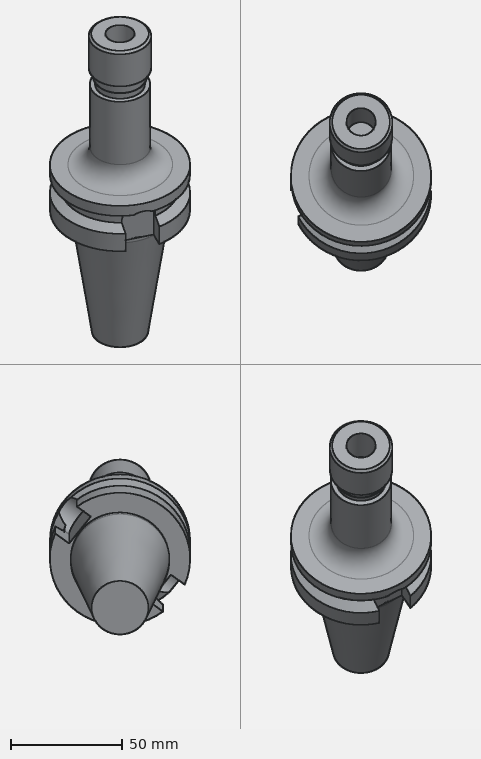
import cadquery as cq

shank_end_radius = 12.7
gauge_radius = 22.2
gauge_z = 65.3

flange_radius = 31.51
flange_bottom_z = 67.3
flange_top_z = 92.6
groove_radius = 26.5
groove_bottom_z = 79.5
groove_top_z = 84.5
groove_flank_height = 2.5

stem_radius = 13.5
stem_top_z = 137.5
blend_radius = 10.0

neck_radius = 11.2
collar_radius = 12.0
collar_bottom_z = 141.3
cap_radius = 14.0
cap_bottom_z = 146.4
cap_chamfer = 1.2
total_length = 165.4

bore_radius = 6.53
bore_depth = total_length - cap_bottom_z

slot_width = 16.0
slot_top_z = 88.3
slot_floor_x = 22.7


def make_body():
    """Revolve the complete outer profile about Z."""
    collar_taper = collar_radius - neck_radius
    profile = (
        cq.Workplane("XZ")
        .lineTo(shank_end_radius, 0)
        .lineTo(gauge_radius, gauge_z)
        .lineTo(gauge_radius, flange_bottom_z)
        .lineTo(flange_radius, flange_bottom_z)
        .lineTo(flange_radius, groove_bottom_z - groove_flank_height)
        .lineTo(groove_radius, groove_bottom_z)
        .lineTo(groove_radius, groove_top_z)
        .lineTo(flange_radius, groove_top_z + groove_flank_height)
        .lineTo(flange_radius, flange_top_z)
        .lineTo(stem_radius + blend_radius, flange_top_z)
        .radiusArc((stem_radius, flange_top_z + blend_radius), blend_radius)
        .lineTo(stem_radius, stem_top_z)
        .lineTo(neck_radius, stem_top_z)
        .lineTo(neck_radius, collar_bottom_z - collar_taper)
        .lineTo(collar_radius, collar_bottom_z)
        .lineTo(collar_radius, cap_bottom_z)
        .lineTo(cap_radius, cap_bottom_z)
        .lineTo(cap_radius, total_length - cap_chamfer)
        .lineTo(cap_radius - cap_chamfer, total_length)
        .lineTo(0, total_length)
        .close()
    )
    return profile.revolve(360, (0, 0, 0), (0, 1, 0))


def make_bore():
    """Cylinder that cuts the bore down from the top face."""
    return cq.Workplane("XY", origin=(0, 0, total_length)).circle(bore_radius).extrude(-bore_depth)


def make_slot(side):
    """Slot cutter on the +X (side = 1) or -X (side = -1) side of the flange."""
    half_width = slot_width / 2
    arc_center_z = slot_top_z - half_width
    return (
        cq.Workplane("YZ", origin=(side * slot_floor_x, 0, 0))
        .moveTo(-half_width, flange_bottom_z)
        .lineTo(half_width, flange_bottom_z)
        .lineTo(half_width, arc_center_z)
        .threePointArc((0, slot_top_z), (-half_width, arc_center_z))
        .close()
        .extrude(side * flange_radius)
    )


result = make_body().cut(make_bore())
for side in (-1, 1):
    result = result.cut(make_slot(side))